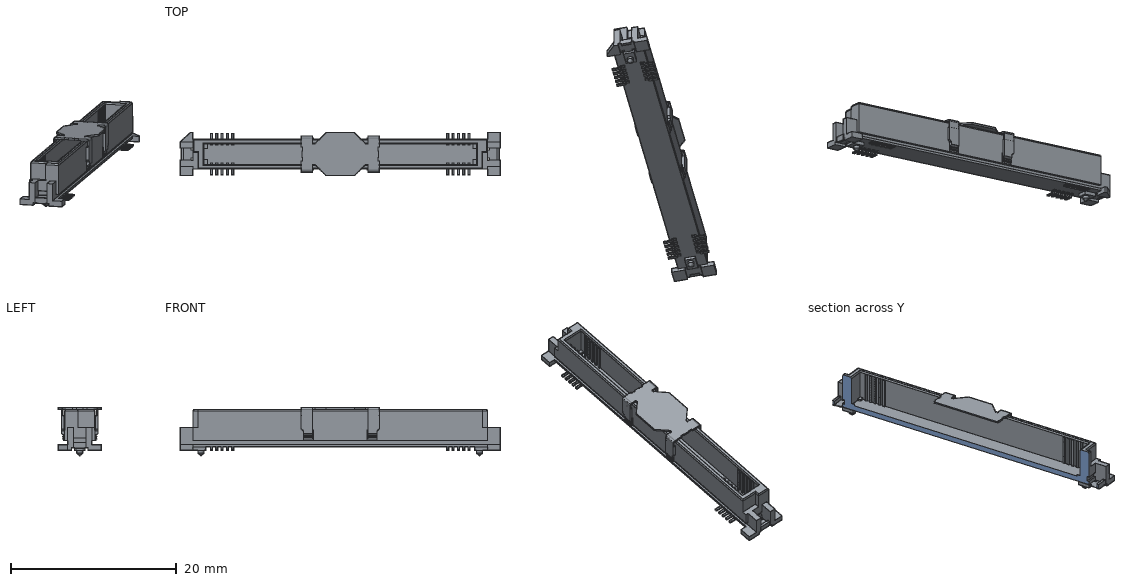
import cadquery as cq
import math

CLIP_TOP = 5.18
RIM_TOP = 4.95
EAR_TOP = 2.78
WALL_BOTTOM = 1.15
FLANGE_TOP = 0.7
BASE_BOTTOM = 0.42
CAVITY_FLOOR = 1.15

LENGTH = 38.62
FOOT_WIDTH = 5.2
END_X = 17.75
WALL_Y = 1.8
BASE_Y = 1.45
RIM_BEVEL = 0.1
RIM_BEVEL_HEIGHT = 0.2
KEY_X = 17.2
KEY_Y = 0.2

CAVITY_X = 16.45
CAVITY_Y = 1.25
MOUTH_BEVEL = 0.1
MOUTH_BEVEL_HEIGHT = 0.2
CORNER_PAD_X = 16.03
CORNER_PAD_Y = 0.65
CORNER_PAD_HEIGHT = 0.2

EAR_SLOT_Y = 0.75
POCKET_X = 17.55
POCKET_TOP = 1.45
CROSSBAR_Y = 0.58
CROSSBAR_TOP = 0.93
CROSSBAR_BOTTOM = 0.25
CROSSBAR_OUTER_X = 19.2
CROSSBAR_INNER_X = 18.9
TAB_X = 18.0
TAB_NECK_Y = 0.5
TAB_TOP = 0.45
UNDERCUT_Y = 0.95
UNDERCUT_TOP = 0.3
FOOT_CORNER_CUT_X = 1.25
FOOT_CORNER_CUT_Y = 1.12

PEG_X = 16.8
PEG_R = 0.4
PEG_SHANK = 0.35
PEG_TIP = 0.65
PEG_PAD_INNER_X = 16.22
PEG_PAD_Y = 0.65

PIN_COUNT = 5
PIN_ROW_LENGTH = 2.55
PIN_PITCH = PIN_ROW_LENGTH / (PIN_COUNT - 1)
PIN_GROUP_X = 14.25
PIN_WIDTH = 0.27
PIN_TIP_Y = 2.5
PIN_BEND_Y = 1.62
PIN_ROOT_Y = 0.95
PIN_THICKNESS = 0.15
CONTACT_WIDTH = 0.27
CONTACT_DEPTH = 0.15
CONTACT_TOP = RIM_TOP - MOUTH_BEVEL_HEIGHT

CLIP_OUTER_X = 4.7
CLIP_EDGE_X = 4.55
CLIP_EDGE_Y = 0.85
CLIP_TONGUE_X = 4.65
CLIP_TONGUE_Y = 0.4
LEG_INNER_X = 3.32
LEG_Y = 2.2
LEG_THICKNESS = 0.15
LEG_BEND_R = 0.27
NOTCH_Y = 1.27
NOTCH_X = 3.05
PAD_FLAT_X = 1.7
LEG_STEP_Z = 4.17
LEG_STEP_Y = 1.85
LEG_TAPER_TOP = 2.6
LEG_TAPER = 0.27
LATCH_TOP = 2.45
LATCH_OVERHANG = 0.08
LATCH_Y = 1.95
LEG_FOOT_TOP = 2.0
LEG_BOTTOM = 1.3
RIDGE_Y = 2.1
RIDGE_VALLEY_Y = 1.95
UPPER_VALLEY_Z = 1.8
UPPER_RIDGE_Z = 1.65
LOWER_VALLEY_Z = 1.55
LOWER_RIDGE_Z = 1.4


def box(x0, x1, y0, y1, z0, z1):
    """Axis-aligned block between the given limits."""
    return cq.Workplane("XY").box(x1 - x0, y1 - y0, z1 - z0, centered=False).translate((x0, y0, z0))


def centred_box(half_x, half_y, z0, z1):
    return box(-half_x, half_x, -half_y, half_y, z0, z1)


def both_ends(shape):
    return shape.union(shape.mirror("YZ"))


def both_sides(shape):
    return shape.union(shape.mirror("XZ"))


def shroud_outline(inset):
    """Outer outline of the shroud with a key notch at the -Y corner of each end."""
    end_x = END_X - inset
    key_x = KEY_X - inset
    wall_y = WALL_Y - inset
    key_y = KEY_Y + inset
    return [
        (-end_x, wall_y), (end_x, wall_y), (end_x, key_y), (key_x, key_y),
        (key_x, -wall_y), (-key_x, -wall_y), (-key_x, key_y), (-end_x, key_y),
    ]


def make_housing():
    bevel_bottom = RIM_TOP - RIM_BEVEL_HEIGHT
    lower = centred_box(END_X, WALL_Y, WALL_BOTTOM, EAR_TOP)
    upper = (
        cq.Workplane("XY").workplane(offset=EAR_TOP)
        .polyline(shroud_outline(0)).close().extrude(bevel_bottom - EAR_TOP)
    )
    rim = (
        cq.Workplane("XY").workplane(offset=bevel_bottom)
        .polyline(shroud_outline(0)).close()
        .workplane(offset=RIM_BEVEL_HEIGHT)
        .polyline(shroud_outline(RIM_BEVEL)).close()
        .loft(ruled=True)
    )
    neck = centred_box(END_X, BASE_Y, BASE_BOTTOM, WALL_BOTTOM)
    flange = centred_box(END_X, WALL_Y, BASE_BOTTOM, FLANGE_TOP)
    return lower.union(upper).union(rim).union(neck).union(flange)


def make_cavity():
    mouth_bottom = RIM_TOP - MOUTH_BEVEL_HEIGHT
    well = centred_box(CAVITY_X, CAVITY_Y, CAVITY_FLOOR, RIM_TOP)
    mouth = (
        cq.Workplane("XY").workplane(offset=mouth_bottom)
        .rect(2 * CAVITY_X, 2 * CAVITY_Y)
        .workplane(offset=MOUTH_BEVEL_HEIGHT)
        .rect(2 * (CAVITY_X + MOUTH_BEVEL), 2 * (CAVITY_Y + MOUTH_BEVEL))
        .loft(ruled=True)
    )
    pad_top = CAVITY_FLOOR + CORNER_PAD_HEIGHT
    pad = box(-CAVITY_X, -CORNER_PAD_X, CORNER_PAD_Y, CAVITY_Y, CAVITY_FLOOR, pad_top)
    return well.union(mouth).cut(both_ends(both_sides(pad)))


def make_left_end():
    """Posts, feet, crossbar and peg at the -X end."""
    outer_x = -LENGTH / 2
    foot_y = FOOT_WIDTH / 2
    end = box(outer_x, -END_X, -BASE_Y, BASE_Y, 0, EAR_TOP)
    end = end.cut(box(outer_x, -END_X, -EAR_SLOT_Y, EAR_SLOT_Y, 0, EAR_TOP))
    end = end.union(both_sides(box(outer_x, -END_X, BASE_Y, foot_y, 0, FLANGE_TOP)))
    end = end.cut(box(outer_x, -END_X, -UNDERCUT_Y, UNDERCUT_Y, 0, UNDERCUT_TOP))
    crossbar = box(
        -CROSSBAR_OUTER_X, -CROSSBAR_INNER_X, -EAR_SLOT_Y, EAR_SLOT_Y, UNDERCUT_TOP, CROSSBAR_TOP
    )
    crossbar_lip = box(
        -CROSSBAR_OUTER_X, -CROSSBAR_INNER_X, -CROSSBAR_Y, CROSSBAR_Y, CROSSBAR_BOTTOM, UNDERCUT_TOP
    )
    tab = box(-CROSSBAR_INNER_X, -TAB_X, -EAR_SLOT_Y, EAR_SLOT_Y, UNDERCUT_TOP, TAB_TOP)
    tab_neck = box(-TAB_X, -END_X, -TAB_NECK_Y, TAB_NECK_Y, UNDERCUT_TOP, TAB_TOP)
    peg_pad = box(-END_X, -PEG_PAD_INNER_X, -PEG_PAD_Y, PEG_PAD_Y, 0, BASE_BOTTOM)
    peg = (
        cq.Workplane("XZ")
        .polyline([(0, 0), (PEG_R, 0), (PEG_R, -PEG_SHANK), (0, -PEG_TIP)]).close()
        .revolve(360, (0, 0, 0), (0, 1, 0))
        .translate((-PEG_X, 0, 0))
    )
    for piece in (crossbar, crossbar_lip, tab, tab_neck, peg_pad, peg):
        end = end.union(piece)
    return end


def make_slot_pocket():
    return box(-END_X, -POCKET_X, -EAR_SLOT_Y, EAR_SLOT_Y, CROSSBAR_TOP, POCKET_TOP)


def make_foot_corner_cut():
    """Wedge removed from the +Y foot at the -X end."""
    corner_x = -LENGTH / 2
    corner_y = FOOT_WIDTH / 2
    return (
        cq.Workplane("XY")
        .polyline([
            (corner_x, corner_y),
            (corner_x + FOOT_CORNER_CUT_X, corner_y),
            (corner_x, corner_y - FOOT_CORNER_CUT_Y),
        ]).close().extrude(FLANGE_TOP)
    )


def make_terminals():
    """Gull-wing pins and their contacts on the +Y cavity wall, for the +X group."""
    pin_profile = [
        (PIN_TIP_Y, 0), (PIN_TIP_Y, PIN_THICKNESS), (PIN_BEND_Y, PIN_THICKNESS),
        (PIN_BEND_Y - PIN_THICKNESS, BASE_BOTTOM), (PIN_ROOT_Y, BASE_BOTTOM),
        (PIN_ROOT_Y, BASE_BOTTOM - PIN_THICKNESS),
        (PIN_BEND_Y - 2 * PIN_THICKNESS, BASE_BOTTOM - PIN_THICKNESS), (PIN_BEND_Y - PIN_THICKNESS, 0),
    ]
    pin = cq.Workplane("YZ").polyline(pin_profile).close().extrude(PIN_WIDTH / 2, both=True)
    contact = box(
        -CONTACT_WIDTH / 2, CONTACT_WIDTH / 2, CAVITY_Y - CONTACT_DEPTH, CAVITY_Y, CAVITY_FLOOR, CONTACT_TOP
    )
    terminal = pin.union(contact)
    group = cq.Workplane("XY")
    for index in range(PIN_COUNT):
        x = PIN_GROUP_X + index * PIN_PITCH - PIN_ROW_LENGTH / 2
        group = group.union(terminal.translate((x, 0, 0)))
    return group


def make_clip_plate():
    pad_y = FOOT_WIDTH / 2
    arm_y = LEG_Y - LEG_BEND_R
    quarter = [
        (0, 0), (0, pad_y), (PAD_FLAT_X, pad_y), (NOTCH_X, NOTCH_Y),
        (LEG_INNER_X, NOTCH_Y), (LEG_INNER_X, arm_y), (CLIP_OUTER_X, arm_y),
        (CLIP_OUTER_X, CLIP_EDGE_Y), (CLIP_EDGE_X, CLIP_EDGE_Y), (CLIP_EDGE_X, CLIP_TONGUE_Y),
        (CLIP_TONGUE_X, CLIP_TONGUE_Y), (CLIP_TONGUE_X, 0),
    ]
    plate = (
        cq.Workplane("XY").workplane(offset=RIM_TOP)
        .polyline(quarter).close().extrude(CLIP_TOP - RIM_TOP)
    )
    return both_ends(both_sides(plate))


def make_clip_leg():
    """Leg on the +X, +Y corner: straight strip, thickened and ridged towards its foot."""
    bend_mid = LEG_BEND_R * math.sqrt(0.5)
    bend_y = LEG_Y - LEG_BEND_R
    bend_z = CLIP_TOP - LEG_BEND_R
    inner_y = LEG_Y - LEG_THICKNESS
    below_bend = [
        (LEG_Y, LEG_FOOT_TOP), (RIDGE_VALLEY_Y, UPPER_VALLEY_Z), (RIDGE_Y, UPPER_RIDGE_Z),
        (RIDGE_VALLEY_Y, LOWER_VALLEY_Z), (RIDGE_Y, LOWER_RIDGE_Z), (WALL_Y, LEG_BOTTOM),
        (WALL_Y, LATCH_TOP), (LEG_STEP_Y, LATCH_TOP), (LEG_STEP_Y, LEG_STEP_Z),
        (inner_y, LEG_STEP_Z), (inner_y, RIM_TOP), (bend_y, RIM_TOP),
    ]
    outline = (
        cq.Workplane("YZ").moveTo(bend_y, CLIP_TOP)
        .threePointArc((bend_y + bend_mid, bend_z + bend_mid), (LEG_Y, bend_z))
    )
    for point in below_bend:
        outline = outline.lineTo(*point)
    return outline.close().extrude(CLIP_OUTER_X - LEG_INNER_X).translate((LEG_INNER_X, 0, 0))


def make_clip():
    leg = make_clip_leg()
    taper_cut = (
        cq.Workplane("XZ")
        .polyline([
            (CLIP_OUTER_X, LEG_TAPER_TOP), (CLIP_OUTER_X - LEG_TAPER, LEG_TAPER_TOP - LEG_TAPER),
            (CLIP_OUTER_X - LEG_TAPER, 0), (CLIP_OUTER_X, 0),
        ]).close().extrude(-FOOT_WIDTH)
    )
    latch_inner_x = LEG_INNER_X - LATCH_OVERHANG
    latch_outer_x = CLIP_OUTER_X - LEG_TAPER
    latch = box(latch_inner_x, latch_outer_x, WALL_Y, LATCH_Y, WALL_BOTTOM, LATCH_TOP)
    legs = both_ends(both_sides(leg.cut(taper_cut).union(latch)))
    return make_clip_plate().union(legs)


housing = make_housing().union(both_ends(make_left_end())).cut(make_foot_corner_cut())
housing = housing.cut(both_ends(make_slot_pocket())).cut(make_cavity())
result = housing.union(both_ends(both_sides(make_terminals()))).union(make_clip())